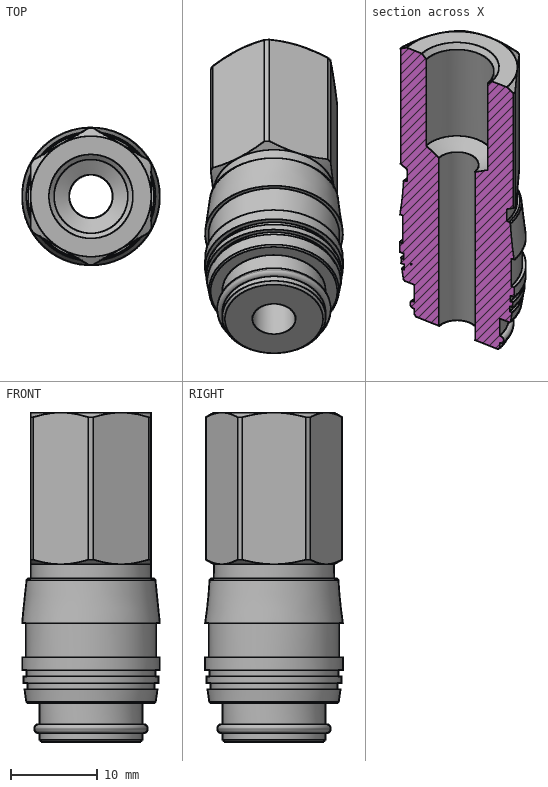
import cadquery as cq
import math

total_height = 38.2

flat_width = 14.0
hex_corner_diameter = 15.8
hex_bottom = 20.63
hex_chamfer_angle = math.radians(30)

neck_diameter = flat_width
sleeve_top = 19.0
sleeve_chamfer = 0.2
sleeve_top_diameter = 14.97
sleeve_max_diameter = 16.0
taper_bottom = 13.8
waist_diameter = 15.15

collar_top = 9.85
collar_bottom = 8.35
upper_groove_diameter = 14.97
ring_top = 7.65
ring_bottom = 6.85
ring_diameter = 15.7
lower_groove_diameter = 14.8

lip_top = 6.15
lip_top_diameter = 15.47
lip_bottom_diameter = 15.05
sleeve_bottom = 4.5

stem_diameter = 12.0
stem_chamfer = 0.3
seal_diameter = 13.18
seal_section_radius = 0.55
seal_height = 1.55

passage_diameter = 5.0
socket_diameter = 8.55
mouth_diameter = 9.75
socket_depth = 13.0
floor_angle = math.radians(30)
mouth_angle = math.radians(45)


def revolve_profile(diameter_heights):
    """Solid of revolution about Z through (diameter, height) points, closed along the axis."""
    bottom = diameter_heights[0][1]
    top = diameter_heights[-1][1]
    profile = cq.Workplane("XZ").moveTo(0, bottom)
    for diameter, height in diameter_heights:
        profile = profile.lineTo(diameter / 2, height)
    return profile.lineTo(0, top).close().revolve(360, (0, 0, 0), (0, 1, 0))


def make_body():
    """Stem, grooved sleeve and neck up to the underside of the hexagon."""
    return revolve_profile([
        (stem_diameter - 2 * stem_chamfer, 0),
        (stem_diameter, stem_chamfer),
        (stem_diameter, sleeve_bottom),
        (lip_bottom_diameter - 2 * sleeve_chamfer, sleeve_bottom),
        (lip_bottom_diameter, sleeve_bottom + sleeve_chamfer),
        (lip_top_diameter, lip_top),
        (lower_groove_diameter, lip_top),
        (lower_groove_diameter, ring_bottom),
        (ring_diameter, ring_bottom),
        (ring_diameter, ring_top),
        (upper_groove_diameter, ring_top),
        (upper_groove_diameter, collar_bottom),
        (sleeve_max_diameter, collar_bottom),
        (sleeve_max_diameter, collar_top),
        (waist_diameter, collar_top),
        (waist_diameter, taper_bottom),
        (sleeve_max_diameter, taper_bottom),
        (sleeve_top_diameter, sleeve_top - sleeve_chamfer),
        (sleeve_top_diameter - 2 * sleeve_chamfer, sleeve_top),
        (neck_diameter, sleeve_top),
        (neck_diameter, hex_bottom),
    ])


def make_hex_head():
    """Hexagon trimmed by a turned blank that rounds its corners and chamfers both ends."""
    chamfer_height = (hex_corner_diameter - flat_width) / 2 * math.tan(hex_chamfer_angle)
    blank = revolve_profile([
        (flat_width, hex_bottom),
        (hex_corner_diameter, hex_bottom + chamfer_height),
        (hex_corner_diameter, total_height - chamfer_height),
        (flat_width, total_height),
    ])
    corner_to_corner = flat_width / math.cos(math.radians(30))
    hexagon = (
        cq.Workplane("XY", origin=(0, 0, hex_bottom))
        .polygon(6, corner_to_corner)
        .extrude(total_height - hex_bottom)
        .rotate((0, 0, 0), (0, 0, 1), 30)
    )
    return hexagon.intersect(blank)


def make_seal():
    """Round-section ring seated in the stem."""
    section_center = seal_diameter / 2 - seal_section_radius
    return (
        cq.Workplane("XZ")
        .moveTo(section_center, seal_height)
        .circle(seal_section_radius)
        .revolve(360, (0, 0, 0), (0, 1, 0))
    )


def make_bore():
    """Through passage, conical socket floor, socket and chamfered mouth."""
    socket_bottom = total_height - socket_depth
    floor_height = (socket_diameter - passage_diameter) / 2 * math.tan(floor_angle)
    mouth_height = (mouth_diameter - socket_diameter) / 2 * math.tan(mouth_angle)
    return revolve_profile([
        (passage_diameter, 0),
        (passage_diameter, socket_bottom - floor_height),
        (socket_diameter, socket_bottom),
        (socket_diameter, total_height - mouth_height),
        (mouth_diameter, total_height),
    ])


result = make_body().union(make_hex_head()).union(make_seal()).cut(make_bore())